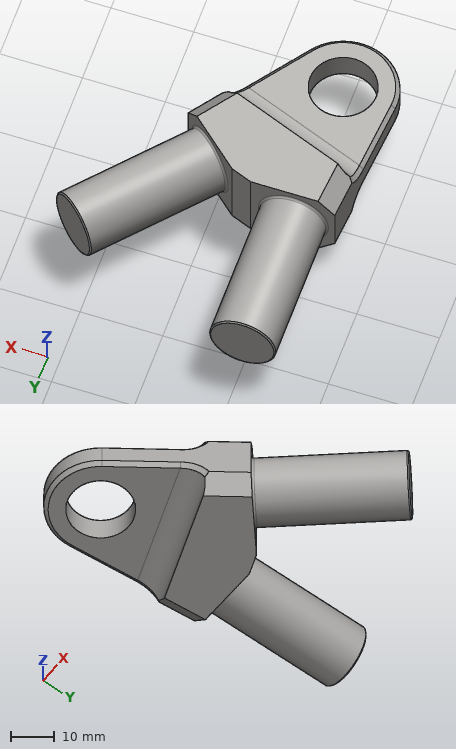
import cadquery as cq
import math

eye_radius = 13.0
hole_radius = 8.0
body_thickness = 20.0
plate_thickness = 7.0
shaft_radius = 8.0
shaft_end = 70.95
shoulder_distance = 35.0
shoulder_inner_width = 10.3
shaft_spread = 41.5
side_draft = 5.0
tip_chamfer = 0.3
neck_fillet = 0.5
side_chamfer = 4.0
edge_chamfer = 1.0
waist_start = 13.9
waist_radius = 6.0
cut_margin = 50.4

half_spread = shaft_spread / 2
side_flare = math.radians(half_spread - side_draft)


def shaft_frame_point(across, along):
    """Point beside the right shaft, measured outward across and along its axis."""
    angle = math.radians(half_spread)
    x = across * math.cos(angle) + along * math.sin(angle)
    y = along * math.cos(angle) - across * math.sin(angle)
    return x, y


def mirrored(point):
    return -point[0], point[1]


tangent_point = (eye_radius * math.cos(side_flare), -eye_radius * math.sin(side_flare))
draft = math.radians(side_draft)
shoulder_outer_width = eye_radius / math.cos(draft) - shoulder_distance * math.tan(draft)
outer_corner = shaft_frame_point(shoulder_outer_width, shoulder_distance)
inner_corner = shaft_frame_point(-shoulder_inner_width, shoulder_distance)


def make_blank():
    """Full-thickness body outline: round eye, flared sides and angled shoulders."""
    return (
        cq.Workplane("XY")
        .moveTo(*tangent_point)
        .lineTo(*outer_corner)
        .lineTo(*inner_corner)
        .lineTo(*mirrored(inner_corner))
        .lineTo(*mirrored(outer_corner))
        .lineTo(*mirrored(tangent_point))
        .threePointArc((0, -eye_radius), tangent_point)
        .close()
        .extrude(body_thickness / 2, both=True)
    )


def make_waist_cutter():
    """Space above the plate, ending in a concave quarter round against the body."""
    plate_top = plate_thickness / 2
    wall = waist_start + waist_radius
    bend = waist_radius * math.sqrt(0.5)
    return (
        cq.Workplane("YZ")
        .moveTo(-cut_margin, plate_top)
        .lineTo(waist_start, plate_top)
        .threePointArc(
            (waist_start + bend, plate_top + waist_radius - bend),
            (wall, plate_top + waist_radius),
        )
        .lineTo(wall, body_thickness)
        .lineTo(-cut_margin, body_thickness)
        .close()
        .extrude(cut_margin, both=True)
    )


def make_side_cutter():
    """Triangular bar that bevels the upper edge of the right body side."""
    top = body_thickness / 2
    side_angle = math.degrees(side_flare)
    return (
        cq.Workplane("XZ")
        .moveTo(eye_radius - side_chamfer, top)
        .lineTo(eye_radius, top)
        .lineTo(eye_radius, top - side_chamfer)
        .close()
        .extrude(cut_margin, both=True)
        .rotate((0, 0, 0), (0, 0, 1), -side_angle)
    )


def make_shaft(angle):
    """Shaft with a bevelled tip and a small fillet flaring into its shoulder."""
    root_radius = shaft_radius + neck_fillet
    neck_bend = neck_fillet * (1 - math.sqrt(0.5))
    return (
        cq.Workplane("XY")
        .moveTo(0, shoulder_distance)
        .lineTo(root_radius, shoulder_distance)
        .threePointArc(
            (shaft_radius + neck_bend, shoulder_distance + neck_bend),
            (shaft_radius, shoulder_distance + neck_fillet),
        )
        .lineTo(shaft_radius, shaft_end - tip_chamfer)
        .lineTo(shaft_radius - tip_chamfer, shaft_end)
        .lineTo(0, shaft_end)
        .close()
        .revolve(360, (0, 0, 0), (0, 1, 0))
        .rotate((0, 0, 0), (0, 0, 1), angle)
    )


body = make_blank()
waist_cutter = make_waist_cutter()
body = body.cut(waist_cutter).cut(waist_cutter.mirror("XY"))

rim_height = plate_thickness / 2
rim_reach = 0.1
for side in (1, -1):
    rim_edges = cq.selectors.BoxSelector(
        (-cut_margin, -cut_margin, side * rim_height - rim_reach),
        (cut_margin, waist_start - rim_reach, side * rim_height + rim_reach),
    )
    body = body.edges(rim_edges).chamfer(edge_chamfer)

side_cutter = make_side_cutter()
for cutter in (side_cutter, side_cutter.mirror("YZ")):
    body = body.cut(cutter).cut(cutter.mirror("XY"))

eye_hole = cq.Workplane("XY").circle(hole_radius).extrude(body_thickness, both=True)
body = body.cut(eye_hole)

for angle in (half_spread, -half_spread):
    body = body.union(make_shaft(angle))

result = body.rotate((0, 0, 0), (0, 0, 1), -half_spread)